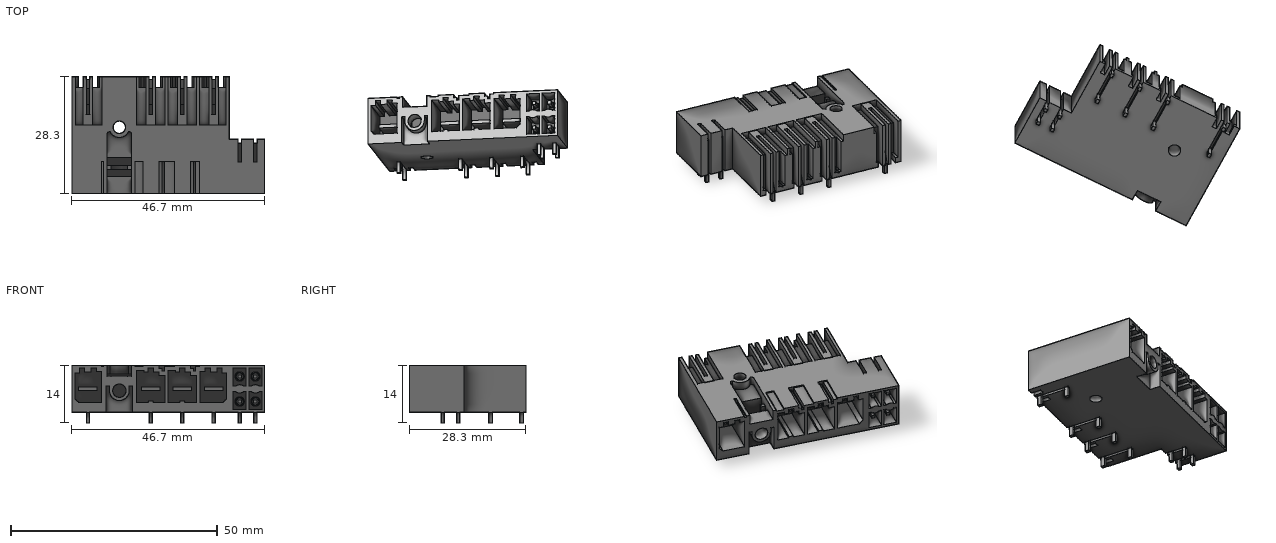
import cadquery as cq
import math

LENGTH = 46.7
DEPTH = 28.3
HEIGHT = 11.4
TAIL_LENGTH = 2.6
MAIN_LENGTH = 38.1
SIGNAL_DEPTH = 13.2
STOCK = 0.8

POLE_PITCH = 7.6
FIRST_POLE_X = 3.88
PLACES = 5
PLACES_X = [FIRST_POLE_X + POLE_PITCH * place for place in range(PLACES)]
SCREW_X = PLACES_X[1]
INNER_POLES_X = PLACES_X[2:-1]
LAST_POLE_X = PLACES_X[-1]
POLES_X = [FIRST_POLE_X, *INNER_POLES_X, LAST_POLE_X]
SIGNAL_PITCH = POLE_PITCH / 2
FIRST_SIGNAL_X = 40.6
SIGNALS_X = [FIRST_SIGNAL_X, FIRST_SIGNAL_X + SIGNAL_PITCH]

SOCKET_DEPTH = 11.65
SOCKET_FLOOR_Z = 2.4
KEY_TOP_Z = 10.7
KEY_BASE_Z = 9.7
END_WALL_SIDE = 3.17
END_INNER_SIDE = 3.3
END_WALL_SHOULDER_Z = 9.55
END_INNER_SHOULDER_Z = 9.9
END_KEY_NEAR = 0.8
END_KEY_FAR = 2.05
END_CHAMFER = 0.95
INNER_SIDE = 3.4
INNER_KEY = 0.65
INNER_LEFT_KEY = 1.7
INNER_LEFT_Z = 10.2
INNER_RIGHT_KEY = 1.95
INNER_RIGHT_Z = 8.9
RIB_TOP = 0.5
RIB_HEIGHT = 0.35

GROOVE_LENGTH = 7.8
SHALLOW = 0.35
MEDIUM = 0.8
DEEP = 1.45
DEEP_START = 2.75
DEEP_END = 3.25
SHALLOW_END = -1.8
FIRST_SHALLOW_START = -3.8
LAST_SHALLOW_END = 4.2
FIRST_GROOVE_START = 3.3
FIRST_GROOVE_END = 3.8

CHANNEL_WIDTH = 5.98
CHANNEL_END_Y = 15.0
CHANNEL_CORNER = 0.65
FRONT_BLOCK_Y = 4.15
FRONT_BLOCK_Z = 8.8
REAR_BLOCK_Y = 8.8
REAR_BLOCK_Z = 9.25
SHAFT_Y = 16.05
SHAFT_DIAMETER = 2.95
SHAFT_BOSS_RADIUS = 2.47
PIT_FLOOR_Z = SOCKET_FLOOR_Z
SADDLE_START_Y = 5.9
SADDLE_END_Y = 6.85
SADDLE_RADIUS = 1.95
SCREW_Z = 5.25
SCREW_HOLE_DIAMETER = 3.2
SCREW_BOSS_RADIUS = 2.4
RECESS_WIDTH = 6.35
RECESS_DEPTH = 2.7
RECESS_TOP_Z = 6.4

POCKET_START_Y = 16.57
POCKET_FLOOR_Z = 9.65
POCKET_INNER_SIDE = 3.45
POCKET_WALL_SIDE = 3.05
RAIL_HALF = 1.15
RAIL_TOP_Z = 11.25
RAIL_SLOT_Y = 19.2
NOTCH_LENGTH = 2.55
NOTCH_SIDE = 2.8
NOTCH_OPENING = 2.35
NOTCH_FLOOR_Z = 1.4
COVE_END = 1.7
COVE_DEPTH = 0.3

SIGNAL_SOCKET_DEPTH = 6.55
SIGNAL_SOCKET_WIDTH = 3.17
SIGNAL_SOCKET_HEIGHT = 4.35
UPPER_SOCKET_Z = 6.35
LOWER_SOCKET_Z = 0.65
UPPER_PIN_Z = 8.7
LOWER_PIN_Z = 2.6
BUMP_HALF = 1.0
BUMP_HEIGHT = 0.35
COLLAR_LENGTH = 1.4
COLLAR_BASE_RADIUS = 1.1
COLLAR_TIP_RADIUS = 0.85

BLADE_TIP_Y = 5.6
BLADE_WIDTH = 4.5
BLADE_Z = 5.28
POWER_TAIL = 1.0
POWER_REAR_Y = 27.7
WEB_BOTTOM_Z = 1.4
WEB_STEP_Y = 21.6
WEB_TOP_Z = 5.15
SLOPE_START_Y = 25.45
SIGNAL_TIP_Y = 1.4
LOWER_LEG_REAR_Y = 8.45
UPPER_LEG_REAR_Y = 12.25


def box(x0, x1, y0, y1, z0, z1):
    """Box between the given limits."""
    return cq.Workplane("XY").box(x1 - x0, y1 - y0, z1 - z0, centered=False).translate((x0, y0, z0))


def front_plane(y):
    """Plane parallel to the mating face; its sketch axes are X and Z and it extrudes to the rear."""
    return cq.Workplane(cq.Plane(origin=(0, y, 0), xDir=(1, 0, 0), normal=(0, -1, 0)))


def end_socket(pole_x, wall_side):
    """Socket of an end pole; wall_side is -1 or +1 for the side near the housing end."""
    outline = [
        (END_WALL_SIDE - END_CHAMFER, SOCKET_FLOOR_Z),
        (END_WALL_SIDE, SOCKET_FLOOR_Z + END_CHAMFER),
        (END_WALL_SIDE, END_WALL_SHOULDER_Z),
        (END_KEY_FAR, END_WALL_SHOULDER_Z),
        (END_KEY_FAR, KEY_TOP_Z),
        (END_KEY_NEAR, KEY_TOP_Z),
        (END_KEY_NEAR, KEY_BASE_Z),
        (-END_KEY_NEAR, KEY_BASE_Z),
        (-END_KEY_NEAR, KEY_TOP_Z),
        (-END_KEY_FAR, KEY_TOP_Z),
        (-END_KEY_FAR, END_INNER_SHOULDER_Z),
        (-END_INNER_SIDE, END_INNER_SHOULDER_Z),
        (-END_INNER_SIDE, SOCKET_FLOOR_Z),
    ]
    points = [(pole_x + wall_side * x, z) for x, z in outline]
    return front_plane(0).polyline(points).close().extrude(-SOCKET_DEPTH)


def inner_socket(pole_x):
    """Socket of an inner pole, with a rib on its floor."""
    outline = [
        (-INNER_SIDE, SOCKET_FLOOR_Z),
        (-INNER_SIDE, INNER_LEFT_Z),
        (-INNER_LEFT_KEY, INNER_LEFT_Z),
        (-INNER_LEFT_KEY, KEY_BASE_Z),
        (-INNER_KEY, KEY_BASE_Z),
        (-INNER_KEY, KEY_TOP_Z),
        (INNER_KEY, KEY_TOP_Z),
        (INNER_KEY, KEY_BASE_Z),
        (INNER_RIGHT_KEY, KEY_BASE_Z),
        (INNER_RIGHT_KEY, INNER_RIGHT_Z),
        (INNER_SIDE, INNER_RIGHT_Z),
        (INNER_SIDE, SOCKET_FLOOR_Z),
        (INNER_KEY, SOCKET_FLOOR_Z),
        (RIB_TOP, SOCKET_FLOOR_Z + RIB_HEIGHT),
        (-RIB_TOP, SOCKET_FLOOR_Z + RIB_HEIGHT),
        (-INNER_KEY, SOCKET_FLOOR_Z),
    ]
    points = [(pole_x + x, z) for x, z in outline]
    return front_plane(0).polyline(points).close().extrude(-SOCKET_DEPTH)


def groove(pole_x, start, end, depth):
    """Coding groove in the top face, placed from a pole."""
    return box(pole_x + start, pole_x + end, 0, GROOVE_LENGTH, HEIGHT - depth, HEIGHT)


def coding_grooves():
    """All coding grooves beside the power sockets."""
    first_inner, second_inner = INNER_POLES_X
    cutter = groove(FIRST_POLE_X, FIRST_GROOVE_START, FIRST_GROOVE_END, SHALLOW)
    cutter = cutter.union(groove(first_inner, FIRST_SHALLOW_START, SHALLOW_END, SHALLOW))
    shallow_ends = ((first_inner, POLE_PITCH + SHALLOW_END), (second_inner, LAST_SHALLOW_END))
    for pole_x, shallow_end in shallow_ends:
        cutter = cutter.union(groove(pole_x, INNER_RIGHT_KEY, DEEP_START, MEDIUM))
        cutter = cutter.union(groove(pole_x, DEEP_START, DEEP_END, DEEP))
        cutter = cutter.union(groove(pole_x, DEEP_END, shallow_end, SHALLOW))
    return cutter


def screw_channel():
    """Open channel from the mating face to the shaft boss, with its pit and the saddle left standing."""
    left = SCREW_X - CHANNEL_WIDTH / 2
    right = SCREW_X + CHANNEL_WIDTH / 2
    rear = box(left, right, REAR_BLOCK_Y, CHANNEL_END_Y, REAR_BLOCK_Z, HEIGHT)
    rear = rear.edges("|Z and >Y").fillet(CHANNEL_CORNER)
    boss = cq.Workplane("XY").center(SCREW_X, SHAFT_Y).circle(SHAFT_BOSS_RADIUS).extrude(HEIGHT)
    front = box(left, right, 0, REAR_BLOCK_Y, FRONT_BLOCK_Z, HEIGHT)
    pit = box(left, right, FRONT_BLOCK_Y, REAR_BLOCK_Y, PIT_FLOOR_Z, FRONT_BLOCK_Z)
    plate = box(left, right, SADDLE_START_Y, SADDLE_END_Y, PIT_FLOOR_Z, FRONT_BLOCK_Z)
    plate = plate.cut(saddle_opening())
    return rear.cut(boss).union(front).union(pit.cut(plate))


def saddle_opening():
    """U-shaped opening of the saddle plate."""
    return u_prism(SADDLE_RADIUS, FRONT_BLOCK_Z, SADDLE_START_Y, SADDLE_END_Y)


def u_prism(radius, top_z, start_y, end_y):
    """Prism with a half-round bottom about the screw axis and a flat top."""
    return (
        front_plane(start_y)
        .moveTo(SCREW_X - radius, top_z)
        .lineTo(SCREW_X - radius, SCREW_Z)
        .threePointArc((SCREW_X, SCREW_Z - radius), (SCREW_X + radius, SCREW_Z))
        .lineTo(SCREW_X + radius, top_z)
        .close()
        .extrude(start_y - end_y)
    )


def screw_recess():
    """Recess in the mating face below the channel, around a U-shaped boss."""
    half = RECESS_WIDTH / 2
    recess = box(SCREW_X - half, SCREW_X + half, 0, RECESS_DEPTH, 0, RECESS_TOP_Z)
    return recess.cut(u_prism(SCREW_BOSS_RADIUS, RECESS_TOP_Z, 0, RECESS_DEPTH))


def screw_holes():
    """Vertical shaft through the housing and the screw hole into the pit."""
    shaft = cq.Workplane("XY").center(SCREW_X, SHAFT_Y).circle(SHAFT_DIAMETER / 2).extrude(HEIGHT)
    screw = front_plane(0).center(SCREW_X, SCREW_Z).circle(SCREW_HOLE_DIAMETER / 2).extrude(-FRONT_BLOCK_Y)
    return shaft.union(screw)


def rear_pocket(pole_x):
    """Pocket halves beside the rail, the rail slot and the open notches at the rear."""
    left = POCKET_WALL_SIDE if pole_x == FIRST_POLE_X else POCKET_INNER_SIDE
    right = POCKET_WALL_SIDE if pole_x == LAST_POLE_X else POCKET_INNER_SIDE
    notch_y = DEPTH - NOTCH_LENGTH
    slot = box(pole_x - STOCK / 2, pole_x + STOCK / 2, RAIL_SLOT_Y, DEPTH, 0, HEIGHT)
    pocket = box(pole_x - left, pole_x + right, POCKET_START_Y, DEPTH, POCKET_FLOOR_Z, HEIGHT)
    notch_left = POCKET_WALL_SIDE if pole_x == FIRST_POLE_X else NOTCH_SIDE
    notch_right = POCKET_WALL_SIDE if pole_x == LAST_POLE_X else NOTCH_SIDE
    notch = box(pole_x - notch_left, pole_x + notch_right, notch_y, DEPTH, NOTCH_FLOOR_Z, HEIGHT)
    rail = box(pole_x - RAIL_HALF, pole_x + RAIL_HALF, POCKET_START_Y, DEPTH, 0, RAIL_TOP_Z)
    open_left = NOTCH_OPENING if pole_x == FIRST_POLE_X else RAIL_HALF
    opening = box(pole_x - open_left, pole_x + NOTCH_OPENING, notch_y, DEPTH, 0, NOTCH_FLOOR_Z)
    cutter = pocket.union(notch).union(opening).cut(rail).union(slot)
    if pole_x != FIRST_POLE_X:
        cutter = cutter.union(cove(pole_x))
    return cutter


def cove(pole_x):
    """Groove along the notch floor whose concave bottom climbs towards the rail."""
    width = NOTCH_OPENING - COVE_END
    radius = (width**2 + COVE_DEPTH**2) / (2 * COVE_DEPTH)
    half_angle = math.atan2(COVE_DEPTH, width)
    start_x = pole_x - NOTCH_OPENING
    bottom_z = NOTCH_FLOOR_Z - COVE_DEPTH
    middle = (start_x + radius * math.sin(half_angle), bottom_z + radius * (1 - math.cos(half_angle)))
    return (
        front_plane(DEPTH - NOTCH_LENGTH)
        .moveTo(start_x, NOTCH_FLOOR_Z)
        .lineTo(start_x, bottom_z)
        .threePointArc(middle, (pole_x - COVE_END, NOTCH_FLOOR_Z))
        .close()
        .extrude(-NOTCH_LENGTH)
    )


def signal_socket(pin_x, pin_z, floor_z, bump_z, bump_rise):
    """Signal socket with a rounded bump on one side and a conical collar round the pin."""
    half = SIGNAL_SOCKET_WIDTH / 2
    socket = box(pin_x - half, pin_x + half, 0, SIGNAL_SOCKET_DEPTH, floor_z, floor_z + SIGNAL_SOCKET_HEIGHT)
    bump = (
        front_plane(0)
        .moveTo(pin_x - BUMP_HALF, bump_z)
        .threePointArc((pin_x, bump_z + bump_rise), (pin_x + BUMP_HALF, bump_z))
        .close()
        .extrude(-SIGNAL_SOCKET_DEPTH)
    )
    collar = cq.Workplane(obj=cq.Solid.makeCone(
        COLLAR_BASE_RADIUS,
        COLLAR_TIP_RADIUS,
        COLLAR_LENGTH,
        pnt=cq.Vector(pin_x, SIGNAL_SOCKET_DEPTH, pin_z),
        dir=cq.Vector(0, -1, 0),
    ))
    return socket.cut(bump).cut(collar)


def signal_column(pin_x):
    """Both sockets of a signal column and the rear slot for the pin legs."""
    upper = signal_socket(pin_x, UPPER_PIN_Z, UPPER_SOCKET_Z, UPPER_SOCKET_Z, BUMP_HEIGHT)
    lower_top = LOWER_SOCKET_Z + SIGNAL_SOCKET_HEIGHT
    lower = signal_socket(pin_x, LOWER_PIN_Z, LOWER_SOCKET_Z, lower_top, -BUMP_HEIGHT)
    slot_y = LOWER_LEG_REAR_Y - STOCK
    slot = box(pin_x - STOCK / 2, pin_x + STOCK / 2, slot_y, SIGNAL_DEPTH, 0, HEIGHT)
    return upper.union(lower).union(slot)


def make_power_contact(pole_x):
    """Flat blade joined to an upright web with two tails."""
    half = BLADE_WIDTH / 2
    blade_top = BLADE_Z + STOCK
    blade = box(pole_x - half, pole_x + half, BLADE_TIP_Y, RAIL_SLOT_Y, BLADE_Z, blade_top)
    profile = [
        (RAIL_SLOT_Y, -TAIL_LENGTH),
        (RAIL_SLOT_Y, blade_top),
        (WEB_STEP_Y, blade_top),
        (WEB_STEP_Y, WEB_TOP_Z),
        (SLOPE_START_Y, WEB_TOP_Z),
        (POWER_REAR_Y, 0),
        (POWER_REAR_Y, -TAIL_LENGTH),
        (POWER_REAR_Y - POWER_TAIL, -TAIL_LENGTH),
        (POWER_REAR_Y - POWER_TAIL, WEB_BOTTOM_Z),
        (RAIL_SLOT_Y + POWER_TAIL, WEB_BOTTOM_Z),
        (RAIL_SLOT_Y + POWER_TAIL, -TAIL_LENGTH),
    ]
    web = cq.Workplane("YZ").polyline(profile).close().extrude(STOCK).translate((pole_x - STOCK / 2, 0, 0))
    return blade.union(web)


def make_signal_pin(pin_x, pin_z, rear_y):
    """Square pin bent down into a leg at its rear end."""
    left = pin_x - STOCK / 2
    right = pin_x + STOCK / 2
    top = pin_z + STOCK / 2
    arm = box(left, right, SIGNAL_TIP_Y, rear_y, top - STOCK, top)
    leg = box(left, right, rear_y - STOCK, rear_y, -TAIL_LENGTH, top)
    return arm.union(leg)


def make_housing(contacts):
    """Housing with all its openings, fitted round the contacts."""
    body = box(0, MAIN_LENGTH, 0, DEPTH, 0, HEIGHT)
    body = body.union(box(MAIN_LENGTH, LENGTH, 0, SIGNAL_DEPTH, 0, HEIGHT))
    body = body.cut(end_socket(FIRST_POLE_X, -1)).cut(end_socket(LAST_POLE_X, 1))
    for pole_x in INNER_POLES_X:
        body = body.cut(inner_socket(pole_x))
    body = body.cut(coding_grooves())
    body = body.cut(screw_channel()).cut(screw_recess()).cut(screw_holes())
    for pole_x in POLES_X:
        body = body.cut(rear_pocket(pole_x))
    for pin_x in SIGNALS_X:
        body = body.cut(signal_column(pin_x))
    for contact in contacts:
        body = body.cut(contact)
    return body


power_contacts = [make_power_contact(pole_x) for pole_x in POLES_X]
signal_pins = []
for signal_x in SIGNALS_X:
    signal_pins.append(make_signal_pin(signal_x, UPPER_PIN_Z, UPPER_LEG_REAR_Y))
    signal_pins.append(make_signal_pin(signal_x, LOWER_PIN_Z, LOWER_LEG_REAR_Y))
housing = make_housing(power_contacts + signal_pins)

result = cq.Compound.makeCompound([
    *housing.vals(),
    *[contact.val() for contact in power_contacts],
    *[pin.val() for pin in signal_pins],
])